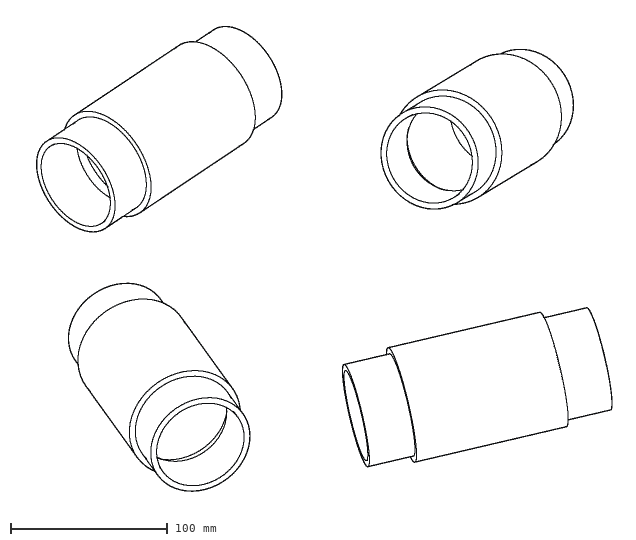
import cadquery as cq

total_length = 160.0
sleeve_length = 100.0
sleeve_diameter = 75.0
tube_diameter = 67.0
bore_diameter = 59.0

flare_depth = 34.0
flare_length = 10.0
chamber_diameter = 67.0


def cylinder_along_y(diameter, length):
    """Solid cylinder on the Y axis, centred on the origin."""
    return cq.Workplane("XZ", origin=(0, length / 2, 0)).circle(diameter / 2).extrude(length)


def flared_chamber():
    """Cylindrical cavity with a cone at each end that narrows to the bore."""
    cone_end = total_length / 2 - flare_depth
    cone_start = cone_end - flare_length
    half_section = [
        (0, -cone_end),
        (bore_diameter / 2, -cone_end),
        (chamber_diameter / 2, -cone_start),
        (chamber_diameter / 2, cone_start),
        (bore_diameter / 2, cone_end),
        (0, cone_end),
    ]
    return cq.Workplane("XY").polyline(half_section).close().revolve(360, (0, 0, 0), (0, 1, 0))


tube = cylinder_along_y(tube_diameter, total_length)
sleeve = cylinder_along_y(sleeve_diameter, sleeve_length)
bore = cylinder_along_y(bore_diameter, total_length)

result = tube.union(sleeve).cut(bore).cut(flared_chamber())